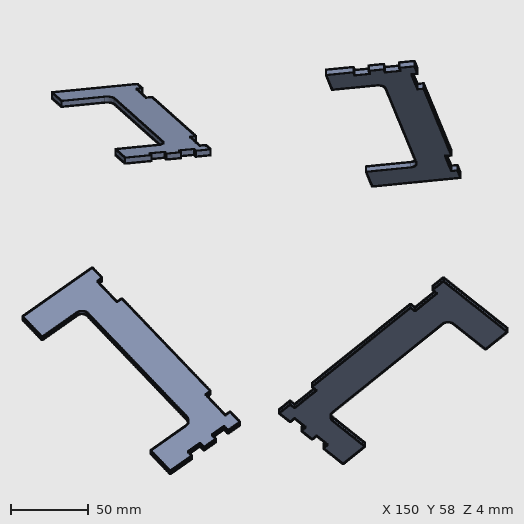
import cadquery as cq

length = 150.0
width = 58.0
thickness = 4.0

leg_width = 20.0
opening_depth = 34.0
corner_radius = 5.0

notch_depth = thickness
end_margin = 10.0
back_notch_length = 20.0
side_notch_length = 10.0
side_notch_pitch = 20.0


def block(x_start, y_start, x_size, y_size):
    """Full-thickness block placed by its lower-left corner."""
    return cq.Workplane("XY").box(x_size, y_size, thickness, centered=False).translate((x_start, y_start, 0))


result = block(0, 0, length, width)

opening = block(leg_width, 0, length - 2 * leg_width, opening_depth)
result = result.cut(opening.edges("|Z and >Y").fillet(corner_radius))

for x_start in (end_margin, length - end_margin - back_notch_length):
    result = result.cut(block(x_start, width - notch_depth, back_notch_length, notch_depth))

for index in range(2):
    y_start = width - end_margin - side_notch_length - index * side_notch_pitch
    result = result.cut(block(length - notch_depth, y_start, notch_depth, side_notch_length))